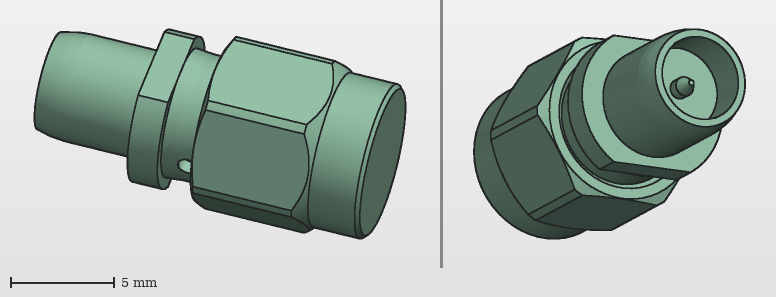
import cadquery as cq

nose_end = 1.45
flange_start = 5.16
flange_end = 6.69
taper_end = 7.57
nut_start = 8.41
collar_start = 14.35
length = 16.93

nose_tip_radius = 2.44
barrel_radius = 2.67
flange_radius = 3.81
taper_start_radius = 3.23
neck_radius = 3.15
collar_radius = 3.86
collar_chamfer = 0.2
nose_bulge = 0.05

flange_flats_width = 6.37
nut_flats_width = 7.94
nut_corner_radius = 4.45
nut_face_radius = 3.95
nut_front_bevel = 0.29
nut_rear_bevel_start = 13.71
nut_recess_radius = 3.42
nut_recess_depth = 0.27

socket_radius = 2.07
socket_depth = 2.29
pin_radius = 0.47
pin_tip_radius = 0.14
pin_tip_start = 0.95
pin_cone_length = 0.73
vent_radius = 0.49
vent_floor_radius = 2.45
vent_x = 8.0


def revolve_about_x(profile):
    """Spin a closed XY profile about the connector axis."""
    return profile.close().revolve(360, (0, 0, 0), (1, 0, 0))


def make_body():
    nose_middle = (nose_end / 2, (nose_tip_radius + barrel_radius) / 2 + nose_bulge)
    profile = (
        cq.Workplane("XY")
        .lineTo(0, nose_tip_radius)
        .threePointArc(nose_middle, (nose_end, barrel_radius))
        .lineTo(flange_end, barrel_radius)
        .lineTo(flange_end, taper_start_radius)
        .lineTo(taper_end, neck_radius)
        .lineTo(collar_start, neck_radius)
        .lineTo(collar_start, collar_radius)
        .lineTo(length - collar_chamfer, collar_radius)
        .lineTo(length, collar_radius - collar_chamfer)
        .lineTo(length, 0)
    )
    return revolve_about_x(profile)


def make_flange():
    width = flange_end - flange_start
    disc = cq.Workplane("YZ", origin=(flange_start, 0, 0)).circle(flange_radius).extrude(width)
    flats = cq.Workplane("YZ", origin=(flange_start, 0, 0)).rect(2 * flange_radius, flange_flats_width)
    return disc.intersect(flats.extrude(width))


def make_nut():
    hexagon = (
        cq.Workplane("YZ", origin=(nut_start, 0, 0))
        .transformed(rotate=(0, 0, 90))
        .polygon(6, nut_flats_width, circumscribed=True)
        .extrude(collar_start - nut_start)
    )
    envelope = revolve_about_x(
        cq.Workplane("XY")
        .moveTo(nut_start, 0)
        .lineTo(nut_start, nut_face_radius)
        .lineTo(nut_start + nut_front_bevel, nut_corner_radius)
        .lineTo(nut_rear_bevel_start, nut_corner_radius)
        .lineTo(collar_start, collar_radius)
        .lineTo(collar_start, 0)
    )
    recess = revolve_about_x(
        cq.Workplane("XY")
        .moveTo(nut_start, 0)
        .lineTo(nut_start, nut_recess_radius)
        .lineTo(nut_start + nut_recess_depth, neck_radius)
        .lineTo(nut_start + nut_recess_depth, 0)
    )
    return hexagon.intersect(envelope).cut(recess)


def make_pin():
    return revolve_about_x(
        cq.Workplane("XY")
        .moveTo(pin_tip_start, 0)
        .lineTo(pin_tip_start, pin_tip_radius)
        .lineTo(pin_tip_start + pin_cone_length, pin_radius)
        .lineTo(socket_depth, pin_radius)
        .lineTo(socket_depth, 0)
    )


def make_vent():
    """Side hole that stops on a cylinder around the connector axis."""
    drill = cq.Workplane("XZ", origin=(vent_x, 0, 0)).circle(vent_radius).extrude(neck_radius)
    core = cq.Workplane("YZ", origin=(flange_end, 0, 0)).circle(vent_floor_radius)
    return drill.cut(core.extrude(collar_start - flange_end))


socket = cq.Workplane("YZ").circle(socket_radius).extrude(socket_depth)
result = make_body().union(make_flange()).union(make_nut()).cut(socket).cut(make_vent()).union(make_pin())